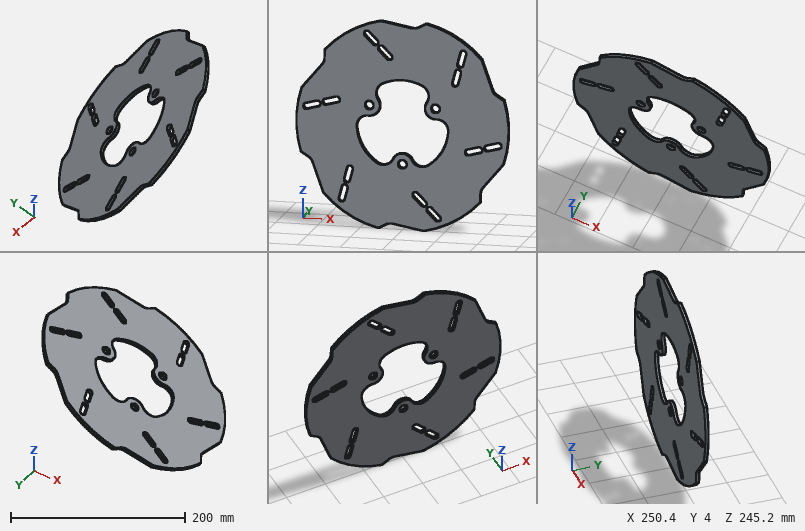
import cadquery as cq
import math

disc_radius = 125.2
thickness = 4.0

notch_count = 6
notch_pitch = 360 / notch_count
flank_start_angle = 77.0
root_angle = 82.4
ramp_end_angle = 101.75
root_distance = 116.2
root_fillet = 12.5

lug_count = 3
lug_pitch = 360 / lug_count
first_lug_angle = 30.0
bolt_circle_radius = 45.0
bolt_hole_diameter = 10.0
lug_radius = 12.5
opening_radius = 54.0
opening_fillet = 13.0

slot_pair_count = 6
slot_pair_pitch = 360 / slot_pair_count
slot_tilt = 15.0
slot_offset = 46.0
slot_positions = (74.5, 98.1)
slot_width = 7.0
slot_center_distance = 13.8


def polar(radius, angle):
    """Point at a radius and an angle in degrees, measured from +X toward +Z."""
    return (radius * math.cos(math.radians(angle)), radius * math.sin(math.radians(angle)))


def plate(outline):
    """Extrude a closed outline to the disc thickness, half to each side."""
    return outline.extrude(thickness / 2, both=True)


def make_disc():
    return plate(cq.Workplane("XZ").circle(disc_radius))


def make_notch(turn):
    """Cutter whose outer corner lies where the rim tangents at both ends meet."""
    mid_angle = (flank_start_angle + ramp_end_angle) / 2
    half_span = math.radians(ramp_end_angle - flank_start_angle) / 2
    root = polar(root_distance, root_angle + turn)
    outline = cq.Workplane("XZ").polyline([
        root,
        polar(disc_radius, flank_start_angle + turn),
        polar(disc_radius / math.cos(half_span), mid_angle + turn),
        polar(disc_radius, ramp_end_angle + turn),
    ]).close()
    root_edge = cq.selectors.NearestToPointSelector((root[0], 0, root[1]))
    return plate(outline).edges("|Y").edges(root_edge).fillet(root_fillet)


def make_opening():
    """Opening outline: tangent arcs around each lug and along the opening circle."""
    fillet_distance = opening_radius - opening_fillet
    center_gap = lug_radius + opening_fillet
    cosine = (fillet_distance**2 + bolt_circle_radius**2 - center_gap**2) / (
        2 * fillet_distance * bolt_circle_radius
    )
    fillet_offset = math.degrees(math.acos(cosine))

    def fillet_points(lug_angle, side):
        """Lug tangent point, fillet middle and opening-circle tangent point."""
        angle = lug_angle + side * fillet_offset
        center = cq.Vector(*polar(fillet_distance, angle))
        to_lug = (cq.Vector(*polar(bolt_circle_radius, lug_angle)) - center).normalized()
        outward = cq.Vector(*polar(1, angle))
        middle = (outward + to_lug).normalized()
        return (
            (center + to_lug * opening_fillet).toTuple()[:2],
            (center + middle * opening_fillet).toTuple()[:2],
            (center + outward * opening_fillet).toTuple()[:2],
        )

    outline = cq.Workplane("XZ").moveTo(*fillet_points(first_lug_angle, -1)[2])
    for index in range(lug_count):
        lug_angle = first_lug_angle + index * lug_pitch
        _, entry_middle, entry_lug = reversed(fillet_points(lug_angle, -1))
        exit_lug, exit_middle, exit_rim = fillet_points(lug_angle, 1)
        next_rim = fillet_points(lug_angle + lug_pitch, -1)[2]
        outline = (
            outline.threePointArc(entry_middle, entry_lug)
            .threePointArc(polar(bolt_circle_radius - lug_radius, lug_angle), exit_lug)
            .threePointArc(exit_middle, exit_rim)
            .threePointArc(polar(opening_radius, lug_angle + lug_pitch / 2), next_rim)
        )
    return plate(outline.close())


def make_bolt_holes():
    centers = [
        polar(bolt_circle_radius, first_lug_angle + index * lug_pitch)
        for index in range(lug_count)
    ]
    return plate(cq.Workplane("XZ").pushPoints(centers).circle(bolt_hole_diameter / 2))


def make_slot_pair(turn):
    centers = [(position, -slot_offset) for position in slot_positions]
    slot_length = slot_center_distance + slot_width
    slots = plate(cq.Workplane("XZ").pushPoints(centers).slot2D(slot_length, slot_width))
    return slots.rotate((0, 0, 0), (0, 1, 0), -(slot_tilt + turn))


result = make_disc().cut(make_opening()).cut(make_bolt_holes())
for notch_index in range(notch_count):
    result = result.cut(make_notch(notch_index * notch_pitch))
for pair_index in range(slot_pair_count):
    result = result.cut(make_slot_pair(pair_index * slot_pair_pitch))